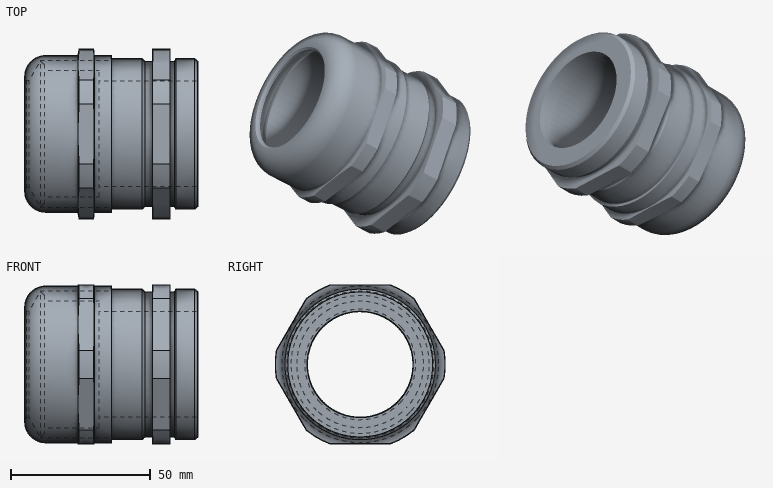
import cadquery as cq
import math

TOTAL_LENGTH = 62.0

HEX_FLATS = 57.0
HEX_CORNER_RADIUS = 30.45

NUT_LENGTH = 31.0
NUT_RADIUS = 28.1
DOME_RADIUS = 7.6
NUT_HEX_START = 19.05
NUT_HEX_END = 24.9
NUT_HEX_FRONT_BEVEL = 0.5
NUT_HEX_BACK_BEVEL = 0.25
MOUTH_RADIUS = 19.85
THROAT_RADIUS = 19.1
MOUTH_BEVEL_LENGTH = 0.7
THROAT_END = 1.55
SOCKET_RADIUS = 26.35

STEM_START = 5.7
FUNNEL_END = 7.1
FUNNEL_RADIUS = 24.75
FUNNEL_MOUTH_RADIUS = 26.05
SEAT_RADIUS = 22.7
SEAT_END = 26.65
BORE_RADIUS = 18.9

BODY_RADIUS = 27.0
NECK_RADIUS = 26.0
NECK_START = 43.0
SHOULDER_BEVEL_LENGTH = 0.9
BODY_HEX_START = 45.8
BODY_HEX_END = 52.1
NECK_END = 53.55
THREAD_START = 54.2
TIP_BEVEL_LENGTH = 1.2


def turned(profile):
    """Revolve an XY half profile about the X axis."""
    return profile.close().revolve(360, (0, 0, 0), (1, 0, 0))


def hexagon(start, end):
    """Hexagonal collar with flats facing +Z and -Z and its corners turned round."""
    length = end - start
    base = cq.Workplane("YZ").workplane(offset=start)
    prism = base.polygon(6, HEX_FLATS / math.cos(math.pi / 6)).extrude(length)
    return prism.intersect(base.circle(HEX_CORNER_RADIUS).extrude(length))


def nut_collar():
    """Nut hexagon whose two end faces slope back as shallow cones."""
    cones = turned(
        cq.Workplane("XY")
        .moveTo(NUT_HEX_START, 0)
        .lineTo(NUT_HEX_START, NUT_RADIUS)
        .lineTo(NUT_HEX_START + NUT_HEX_FRONT_BEVEL, HEX_CORNER_RADIUS)
        .lineTo(NUT_HEX_END - NUT_HEX_BACK_BEVEL, HEX_CORNER_RADIUS)
        .lineTo(NUT_HEX_END, NUT_RADIUS)
        .lineTo(NUT_HEX_END, 0)
    )
    return hexagon(NUT_HEX_START, NUT_HEX_END).intersect(cones)


def make_nut():
    """Domed nut with a bevelled mouth, a short throat and a cavity that flares out to the stem."""
    dome_drop = DOME_RADIUS * (1 - 0.5**0.5)
    shell = turned(
        cq.Workplane("XY")
        .lineTo(0, NUT_RADIUS - DOME_RADIUS)
        .threePointArc((dome_drop, NUT_RADIUS - dome_drop), (DOME_RADIUS, NUT_RADIUS))
        .lineTo(NUT_LENGTH, NUT_RADIUS)
        .lineTo(NUT_LENGTH, 0)
    )
    cavity = turned(
        cq.Workplane("XY")
        .lineTo(0, MOUTH_RADIUS)
        .lineTo(MOUTH_BEVEL_LENGTH, THROAT_RADIUS)
        .lineTo(THROAT_END, THROAT_RADIUS)
        .lineTo(STEM_START, SOCKET_RADIUS)
        .lineTo(NUT_LENGTH, SOCKET_RADIUS)
        .lineTo(NUT_LENGTH, 0)
    )
    return shell.union(nut_collar()).cut(cavity)


def make_body():
    """Stepped tube with a hexagon on its neck and a stem that fills the socket of the nut."""
    outside = turned(
        cq.Workplane("XY")
        .moveTo(STEM_START, 0)
        .lineTo(STEM_START, SOCKET_RADIUS)
        .lineTo(NUT_LENGTH, SOCKET_RADIUS)
        .lineTo(NUT_LENGTH, BODY_RADIUS)
        .lineTo(NECK_START - SHOULDER_BEVEL_LENGTH, BODY_RADIUS)
        .lineTo(NECK_START, NECK_RADIUS)
        .lineTo(NECK_END, NECK_RADIUS)
        .lineTo(THREAD_START, BODY_RADIUS)
        .lineTo(TOTAL_LENGTH - TIP_BEVEL_LENGTH, BODY_RADIUS)
        .lineTo(TOTAL_LENGTH, NECK_RADIUS)
        .lineTo(TOTAL_LENGTH, 0)
    )
    passage = turned(
        cq.Workplane("XY")
        .moveTo(STEM_START, 0)
        .lineTo(STEM_START, FUNNEL_MOUTH_RADIUS)
        .lineTo(FUNNEL_END, FUNNEL_RADIUS)
        .lineTo(FUNNEL_END, SEAT_RADIUS)
        .lineTo(SEAT_END, SEAT_RADIUS)
        .lineTo(SEAT_END, BORE_RADIUS)
        .lineTo(TOTAL_LENGTH, BORE_RADIUS)
        .lineTo(TOTAL_LENGTH, 0)
    )
    return outside.union(hexagon(BODY_HEX_START, BODY_HEX_END)).cut(passage)


nut = make_nut()
body = make_body()

result = cq.Compound.makeCompound([nut.val(), body.val()])